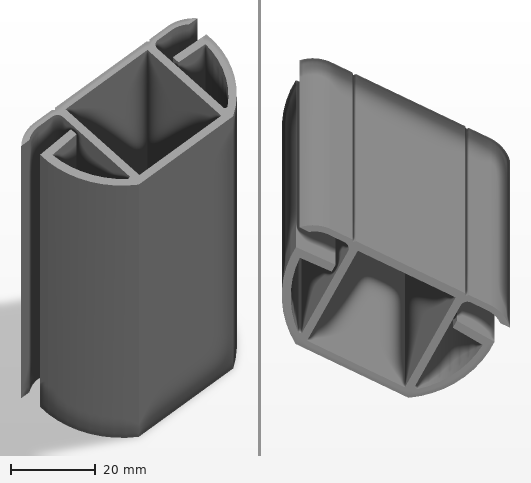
import cadquery as cq

length = 100.0
tube_size = 30.0
wall = 2.0
half_tube = tube_size / 2

lip_thickness = 1.5
lip_reach = 28.0
lip_curl_start = 21.5
lip_tip_x = -12.0
lip_tip_inner_y = 25.4
lip_root_radius = 1.8
lip_outer_mid = (-14.1, 25.1)
lip_inner_mid = (-13.1, 23.4)

fin_top = 26.4
fin_inner_top = 24.3
fin_flat_end_x = -4.3
fin_outer_mid = (6.1, 23.3)
fin_inner_mid = (5.2, 21.4)
fin_inner_end = (12.1, 15.8)
fin_root_x = 11.9
hook_top_x = -7.1
hook_end_x_plus_y = -7.4
hook_end_x_minus_y = -7.8
hook_end_y = 16.0
hook_thickness = 2.0

groove_center_y = 15.0
groove_width = 1.0
groove_depth = 0.5


def make_tube():
    outside = cq.Workplane("XY").rect(tube_size, tube_size).extrude(length)
    bore_size = tube_size - 2 * wall
    bore = cq.Workplane("XY").rect(bore_size, bore_size).extrude(length)
    return outside.cut(bore)


def make_lip():
    outer_x = -half_tube
    inner_x = outer_x + lip_thickness
    root_y = half_tube + lip_root_radius
    root_mid_offset = lip_root_radius * (1 - 0.5 ** 0.5)
    return (
        cq.Workplane("XY")
        .moveTo(outer_x, half_tube - wall)
        .lineTo(outer_x, lip_curl_start)
        .threePointArc(lip_outer_mid, (lip_tip_x, lip_reach))
        .lineTo(lip_tip_x, lip_tip_inner_y)
        .threePointArc(lip_inner_mid, (inner_x, lip_curl_start))
        .lineTo(inner_x, root_y)
        .threePointArc(
            (inner_x + root_mid_offset, half_tube + root_mid_offset),
            (inner_x + lip_root_radius, half_tube),
        )
        .lineTo(inner_x + lip_root_radius, half_tube - wall)
        .close()
        .extrude(length)
    )


def make_fin(hook_end_x):
    return (
        cq.Workplane("XY")
        .moveTo(half_tube, half_tube - wall)
        .lineTo(half_tube, half_tube)
        .threePointArc(fin_outer_mid, (fin_flat_end_x, fin_top))
        .lineTo(hook_top_x, fin_top)
        .lineTo(hook_end_x, hook_end_y)
        .lineTo(hook_end_x + hook_thickness, hook_end_y)
        .lineTo(hook_top_x + hook_thickness, fin_inner_top)
        .threePointArc(fin_inner_mid, fin_inner_end)
        .lineTo(fin_root_x, half_tube)
        .lineTo(fin_root_x, half_tube - wall)
        .close()
        .extrude(length)
    )


def make_groove():
    return (
        cq.Workplane("XY")
        .moveTo(-half_tube, groove_center_y - groove_width / 2)
        .lineTo(-half_tube + groove_depth, groove_center_y)
        .lineTo(-half_tube, groove_center_y + groove_width / 2)
        .close()
        .extrude(length)
    )


def both_sides(shape):
    return shape.union(shape.mirror("XZ"))


fin_plus_y = make_fin(hook_end_x_plus_y)
fin_minus_y = make_fin(hook_end_x_minus_y).mirror("XZ")

result = make_tube().union(both_sides(make_lip()))
result = result.union(fin_plus_y).union(fin_minus_y)
result = result.cut(both_sides(make_groove()))